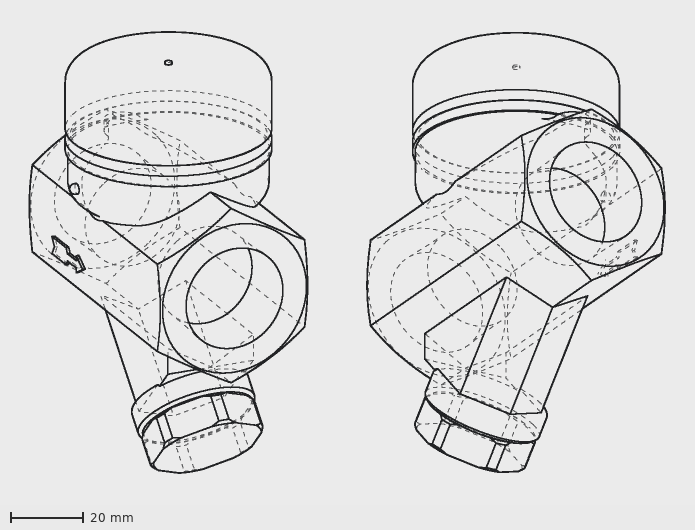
import cadquery as cq
import math


pipe_length = 88.0
pipe_flats = 45.0
pipe_corner_radius = pipe_flats / math.sqrt(3)
pipe_face_radius = 22.0
pipe_chamfer_angle = 30.0
port_radius = 14.8
port_end_radius = 14.4
port_taper_depth = 15.0
port_depth = 19.7
port_tip_angle = 59.0

arrow_tail_x = -26.8
arrow_notch_depth = 1.6
arrow_shoulder_x = -17.4
arrow_shoulder_run = 0.9
arrow_head_x = -10.7
arrow_tip_x = -6.35
arrow_z = -5.5
arrow_half_width = 2.55
arrow_shaft_half_width = 1.1
arrow_relief = 0.8

seat_radius = 28.0
seat_top = 28.9
seat_fillet_top = 19.6
seat_fillet_radius = 5.0
seat_fillet_sweep = 60.0
seat_neck_radius = 22.0

cover_radius = 28.75
cover_top = 54.3
cover_edge_radius = 5.5
groove_bottom = 32.0
groove_top = 35.1
groove_depth = 1.4
dot_radius = 1.0
dot_height = 0.7

button_radius = 1.5
button_tip = 30.0
button_height = 21.6

lug_radius = 5.0
lug_center_x = -31.05
lug_top = 27.0
lug_fillet = 3.0

branch_start_x = -25.0
branch_width = 26.0
branch_corner_radius = branch_width / math.sqrt(3)
collar_start = 54.95
collar_radius = 17.0
collar_edge = 1.0
web_end = 56.0
web_side_x = 28.0
plug_start = 62.75
plug_end = 72.1
plug_flats = 30.0
plug_corner_radius = 16.5
plug_bevel = 0.85


def hexagon_diameter(flats):
    """Diameter across the corners of a hexagon with the given width across its flats."""
    return 2 * flats / math.sqrt(3)


def revolve_about_x(points):
    """Solid of revolution about X from (x, radius) points."""
    return cq.Workplane("XY").polyline(points).close().revolve(360, (0, 0, 0), (1, 0, 0))


def make_pipe():
    half = pipe_length / 2
    hexagon = (
        cq.Workplane("YZ")
        .polygon(6, hexagon_diameter(pipe_flats))
        .extrude(half, both=True)
        .rotate((0, 0, 0), (1, 0, 0), 30)
    )
    chamfer = (pipe_corner_radius - pipe_face_radius) * math.tan(math.radians(pipe_chamfer_angle))
    envelope = revolve_about_x([
        (-half, 0),
        (-half, pipe_face_radius),
        (-half + chamfer, pipe_corner_radius),
        (half - chamfer, pipe_corner_radius),
        (half, pipe_face_radius),
        (half, 0),
    ])
    return hexagon.intersect(envelope)


def make_port():
    """Blind bore with a tapered mouth and a conical end, at the -X end of the pipe."""
    face = -pipe_length / 2
    bore_end = face + port_depth
    tip = bore_end + port_end_radius / math.tan(math.radians(port_tip_angle))
    return revolve_about_x([
        (face, 0),
        (face, port_radius),
        (face + port_taper_depth, port_end_radius),
        (bore_end, port_end_radius),
        (tip, 0),
    ])


def make_arrow():
    upper_edge = [
        (arrow_tail_x + arrow_notch_depth, 0),
        (arrow_tail_x, arrow_half_width),
        (arrow_shoulder_x, arrow_half_width),
        (arrow_shoulder_x + arrow_shoulder_run, arrow_shaft_half_width),
        (arrow_head_x, arrow_shaft_half_width),
        (arrow_head_x, arrow_half_width),
        (arrow_tip_x, 0),
    ]
    lower_edge = [(x, -z) for x, z in reversed(upper_edge[1:-1])]
    return (
        cq.Workplane("XZ", origin=(0, -pipe_flats / 2, arrow_z))
        .polyline(upper_edge + lower_edge)
        .close()
        .extrude(arrow_relief)
    )


def make_seat():
    """Round seat whose lower edge rolls inwards and then down into a narrower neck."""
    sweep = math.radians(seat_fillet_sweep)
    outer_center_r = seat_radius - seat_fillet_radius
    hollow_radius = (
        outer_center_r + seat_fillet_radius * math.cos(sweep) - seat_neck_radius
    ) / (1 - math.cos(sweep))
    hollow_center_r = seat_neck_radius + hollow_radius
    hollow_center_z = seat_fillet_top - (seat_fillet_radius + hollow_radius) * math.sin(sweep)

    def outer_point(angle):
        return (
            outer_center_r + seat_fillet_radius * math.cos(angle),
            seat_fillet_top - seat_fillet_radius * math.sin(angle),
        )

    hollow_middle = (
        hollow_center_r - hollow_radius * math.cos(sweep / 2),
        hollow_center_z + hollow_radius * math.sin(sweep / 2),
    )
    return (
        cq.Workplane("XZ")
        .moveTo(0, seat_top)
        .lineTo(seat_radius, seat_top)
        .lineTo(seat_radius, seat_fillet_top)
        .threePointArc(outer_point(sweep / 2), outer_point(sweep))
        .threePointArc(hollow_middle, (seat_neck_radius, hollow_center_z))
        .lineTo(seat_neck_radius, 0)
        .lineTo(0, 0)
        .close()
        .revolve(360, (0, 0, 0), (0, 1, 0))
    )


def make_lug():
    """Round-ended lug that flares into the seat through two fillets."""
    flare_y = lug_radius + lug_fillet
    flare_x = -math.sqrt((seat_radius + lug_fillet) ** 2 - flare_y**2)
    to_seat = seat_radius / (seat_radius + lug_fillet)
    touch_x = flare_x * to_seat
    touch_y = flare_y * to_seat
    flare_angle = math.atan2(touch_y - flare_y, touch_x - flare_x)
    middle_angle = (flare_angle - math.pi / 2) / 2
    middle_x = flare_x + lug_fillet * math.cos(middle_angle)
    middle_y = flare_y + lug_fillet * math.sin(middle_angle)
    return (
        cq.Workplane("XY")
        .moveTo(0, touch_y)
        .lineTo(touch_x, touch_y)
        .threePointArc((middle_x, middle_y), (flare_x, lug_radius))
        .lineTo(lug_center_x, lug_radius)
        .threePointArc((lug_center_x - lug_radius, 0), (lug_center_x, -lug_radius))
        .lineTo(flare_x, -lug_radius)
        .threePointArc((middle_x, -middle_y), (touch_x, -touch_y))
        .lineTo(0, -touch_y)
        .close()
        .extrude(lug_top)
    )


def make_button():
    """Stub with a ball end on the -Y side of the seat."""
    ball_y = button_tip - button_radius
    stub = (
        cq.Workplane("XZ")
        .center(0, button_height)
        .circle(button_radius)
        .extrude(ball_y)
    )
    ball = cq.Workplane("XY").sphere(button_radius).translate((0, -ball_y, button_height))
    return stub.union(ball)


def branch_plane(distance):
    """Plane across the branch axis; its local x points up and outwards."""
    step = distance / math.sqrt(2)
    return cq.Plane(origin=(branch_start_x + step, 0, -step), xDir=(1, 0, 1), normal=(1, 0, -1))


def make_branch():
    """Hexagonal branch with one corner edge underneath."""
    return (
        cq.Workplane(branch_plane(0))
        .polygon(6, hexagon_diameter(branch_width))
        .extrude(collar_start)
    )


def make_web():
    """Web that fills the corner between the branch and the pipe."""
    end_sum = branch_start_x + web_end * math.sqrt(2)
    axis_end_x = branch_start_x + web_end / math.sqrt(2)
    lower_shift = branch_corner_radius / 2 / math.sqrt(2)
    lower_x = axis_end_x - lower_shift
    start_x = branch_start_x - 2 * lower_shift
    return (
        cq.Workplane("XZ")
        .polyline([
            (start_x, 0),
            (web_side_x, 0),
            (web_side_x, web_side_x - end_sum),
            (lower_x, lower_x - end_sum),
        ])
        .close()
        .extrude(branch_width / 2, both=True)
    )


def place_on_branch(part, distance):
    """Moves a part built along Z to a distance along the branch axis."""
    return cq.Workplane(part.val().located(cq.Location(branch_plane(distance))))


def make_collar():
    """Round collar with a rounded edge at the branch and a bevel at the plug head."""
    length = plug_start - collar_start
    collar = (
        cq.Workplane("XY")
        .circle(collar_radius)
        .extrude(length)
        .faces("<Z")
        .fillet(collar_edge)
        .faces(">Z")
        .chamfer(collar_edge)
    )
    return place_on_branch(collar, collar_start)


def make_plug_head():
    """Hexagon head with turned corners and bevelled ends."""
    length = plug_end - plug_start
    turned = (
        cq.Workplane("XY")
        .circle(plug_corner_radius)
        .extrude(length)
        .faces("<Z or >Z")
        .chamfer(plug_bevel)
    )
    hexagon = cq.Workplane("XY").polygon(6, hexagon_diameter(plug_flats)).extrude(length)
    return place_on_branch(hexagon.intersect(turned), plug_start)


def make_body():
    body = make_pipe().union(make_arrow()).union(make_seat()).union(make_lug()).union(make_button())
    body = body.union(make_branch()).union(make_web())
    body = body.union(make_collar()).union(make_plug_head())
    port = make_port()
    return body.cut(port).cut(port.mirror("YZ"))


def make_cover():
    """Round cover with a rounded top edge, a ring groove and a small dot on top."""
    groove_middle = (groove_bottom + groove_top) / 2
    dot = (
        cq.Workplane("XY")
        .workplane(offset=cover_top)
        .circle(dot_radius)
        .extrude(dot_height)
        .faces(">Z")
        .fillet(dot_height / 2)
    )
    corner = cover_edge_radius * (1 - math.sqrt(0.5))
    return (
        cq.Workplane("XZ")
        .moveTo(0, seat_top)
        .lineTo(cover_radius, seat_top)
        .lineTo(cover_radius, groove_bottom)
        .threePointArc((cover_radius - groove_depth, groove_middle), (cover_radius, groove_top))
        .lineTo(cover_radius, cover_top - cover_edge_radius)
        .threePointArc(
            (cover_radius - corner, cover_top - corner),
            (cover_radius - cover_edge_radius, cover_top),
        )
        .lineTo(0, cover_top)
        .close()
        .revolve(360, (0, 0, 0), (0, 1, 0))
        .union(dot)
    )


body = make_body()
cover = make_cover()
result = cq.Compound.makeCompound([body.val(), cover.val()])